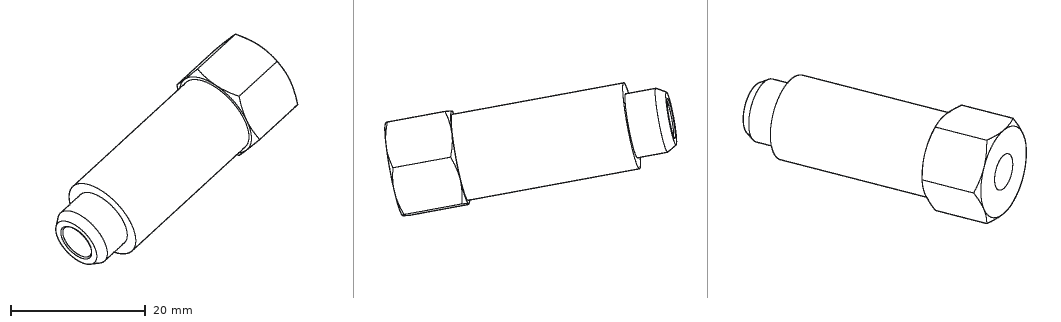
import cadquery as cq
import math

total_length = 42.0
head_length = 10.0
across_flats = 14.0
body_diameter = 13.0
tip_diameter = 9.7
tip_length = 6.0
tip_chamfer_length = 1.43
tip_chamfer_depth = 0.85
bore_diameter = 5.6
bore_mouth_diameter = 6.0
corner_chamfer_angle = 30.0

across_corners = across_flats / math.cos(math.radians(30))
corner_chamfer_depth = (across_corners - across_flats) / 2
corner_chamfer_length = corner_chamfer_depth * math.tan(math.radians(corner_chamfer_angle))
bore_mouth_depth = (bore_mouth_diameter - bore_diameter) / 2
head_start = total_length - head_length


def revolve_about_y(points):
    """Turn a closed (radius, y) outline about the Y axis."""
    return cq.Workplane("XY").polyline(points).close().revolve(360, (0, 0, 0), (0, 1, 0))


def make_head():
    """Hexagon with flats facing +Z and -Z and its corners turned off at both ends."""
    hexagon = (
        cq.Workplane("XZ", origin=(0, total_length, 0))
        .polygon(6, across_corners)
        .extrude(head_length)
    )
    face_radius = across_flats / 2
    corner_radius = across_corners / 2
    turned_envelope = revolve_about_y([
        (0, head_start),
        (face_radius, head_start),
        (corner_radius, head_start + corner_chamfer_length),
        (corner_radius, total_length - corner_chamfer_length),
        (face_radius, total_length),
        (0, total_length),
    ])
    return hexagon.intersect(turned_envelope)


def make_shank():
    """Cylindrical body stepping down to the tapered tip."""
    body_radius = body_diameter / 2
    tip_radius = tip_diameter / 2
    return revolve_about_y([
        (0, 0),
        (tip_radius - tip_chamfer_depth, 0),
        (tip_radius, tip_chamfer_length),
        (tip_radius, tip_length),
        (body_radius, tip_length),
        (body_radius, head_start),
        (0, head_start),
    ])


def make_bore():
    """Through bore with a small chamfer at the tip."""
    bore_radius = bore_diameter / 2
    return revolve_about_y([
        (0, 0),
        (bore_mouth_diameter / 2, 0),
        (bore_radius, bore_mouth_depth),
        (bore_radius, total_length),
        (0, total_length),
    ])


result = make_head().union(make_shank()).cut(make_bore())